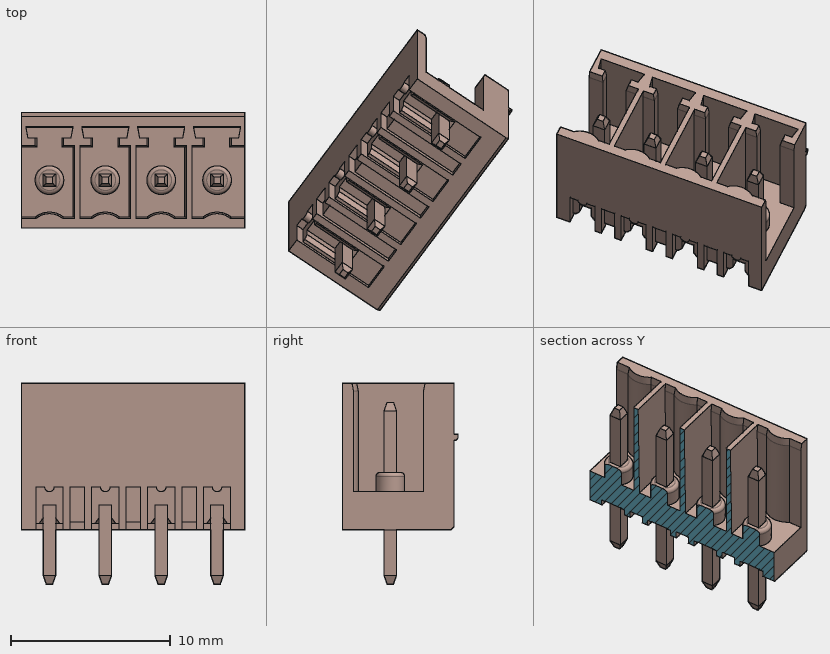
import cadquery as cq
import math


pin_count = 4
pitch = 3.5
pin_size = 0.8
pin_tip_size = 0.4
pin_tip_length = 0.56
pin_top_z = 8.0
pin_bottom_z = -3.4

body_length = pin_count * pitch
body_height = 9.2
body_front_y = -3.0
body_back_y = 4.0
bottom_chamfer = 0.2

ridge_depth = 0.25
ridge_top_z = 6.0
ridge_height = 0.38
ridge_chamfer = 0.13

floor_z = 2.4
cell_half_width = 1.575
cell_front_y = -2.3
arm_front_y = 2.08
arm_back_y = 2.65
neck_half_width = 0.79
groove_front_half_width = 1.35
groove_back_half_width = 1.475
groove_back_y = 3.36
wall_draft = 0.1
groove_draft = 0.06
lead_in = 0.1
lead_in_depth = 0.5

bulge_half_width = 0.87
bulge_height = 0.3
bulge_radius = (bulge_half_width**2 + bulge_height**2) / (2 * bulge_height)

collar_diameter = 1.8
collar_height = 1.2
collar_fillet = 0.25

recess_depth = 0.47
recess_top_z = 2.7
pin_recess_width = 1.7
pin_recess_roof_z = 0.4
wall_recess_width = 0.9
wall_recess_roof_z = 0.5
underside_back_y = 2.5
tab_radius = 0.3
slot_roof_z = 1.58
funnel_spread = 0.25
funnel_height = 0.35

half_length = body_length / 2
recess_back_y = body_front_y + recess_depth
pin_xs = [(i - (pin_count - 1) / 2) * pitch for i in range(pin_count)]
wall_xs = [x + pitch / 2 for x in pin_xs[:-1]]


def block(x, y, z):
    """Box spanning the given (low, high) pairs."""
    size = (x[1] - x[0], y[1] - y[0], z[1] - z[0])
    return cq.Workplane("XY").box(*size, centered=False).translate((x[0], y[0], z[0]))


def across(x, width):
    """Low and high ends of a width centred on x."""
    return (x - width / 2, x + width / 2)


def make_body():
    """Housing block with its chamfered lower back edge and back ridge."""
    y_span = (body_front_y, body_back_y)
    body = block((-half_length, half_length), y_span, (0, body_height))
    body = body.edges(">Y and <Z").chamfer(bottom_chamfer)
    ridge_y = body_back_y + ridge_depth
    ridge_bottom_z = ridge_top_z - ridge_height
    ridge = (
        cq.Workplane("YZ", origin=(-half_length, 0, 0))
        .moveTo(body_back_y - ridge_depth, ridge_top_z)
        .lineTo(ridge_y, ridge_top_z)
        .lineTo(ridge_y, ridge_bottom_z + ridge_chamfer)
        .lineTo(ridge_y - ridge_chamfer, ridge_bottom_z)
        .lineTo(body_back_y - ridge_depth, ridge_bottom_z)
        .close()
        .extrude(body_length)
    )
    return body.union(ridge)


def cell_section(x, z, lead):
    """Closed outline of the cell round the pin at x, at height z, widened by lead."""
    depth_share = (body_height - z) / (body_height - floor_z)
    left = x - cell_half_width
    right = x + cell_half_width - wall_draft * depth_share
    if x == pin_xs[0]:
        left = -half_length
    if x == pin_xs[-1]:
        right = half_length
    front = cell_front_y - lead
    arm_front = arm_front_y + lead
    neck = neck_half_width + lead
    back = groove_back_y - groove_draft * depth_share

    bulge_center_y = cell_front_y + bulge_height - bulge_radius
    radius = bulge_radius - lead
    bulge = math.sqrt(radius**2 - (front - bulge_center_y) ** 2)
    outline = (
        cq.Workplane("XY", origin=(0, 0, z))
        .moveTo(left, front)
        .lineTo(x - bulge, front)
        .threePointArc((x, bulge_center_y + radius), (x + bulge, front))
        .lineTo(right, front)
        .lineTo(right, arm_front)
        .lineTo(x + neck, arm_front)
        .lineTo(x + neck, arm_back_y)
        .lineTo(x + groove_front_half_width, arm_back_y)
        .lineTo(x + groove_back_half_width, back)
        .lineTo(x - groove_back_half_width, back)
        .lineTo(x - groove_front_half_width, arm_back_y)
        .lineTo(x - neck, arm_back_y)
        .lineTo(x - neck, arm_front)
        .lineTo(left, arm_front)
        .close()
    )
    return outline.val()


def make_cell(x):
    """Cavity of one cell: a drafted shaft with a flared lead-in at its mouth."""
    lead_in_z = body_height - lead_in_depth
    foot = cell_section(x, floor_z, 0)
    shoulder = cell_section(x, lead_in_z, 0)
    mouth = cell_section(x, body_height, lead_in)
    shaft = cq.Solid.makeLoft([foot, shoulder], True)
    flare = cq.Solid.makeLoft([shoulder, mouth], True)
    return cq.Workplane(shaft).union(cq.Workplane(flare))


def make_recess(x, width, roof_z):
    """Notch in the front wall that runs on under the housing below roof_z."""
    span = across(x, width)
    notch = block(span, (body_front_y, recess_back_y), (0, recess_top_z))
    underside = block(span, (body_front_y, underside_back_y), (0, roof_z))
    return notch.union(underside)


def funnel_section(x, half, z):
    """Rectangle at height z from the front recess to half a width behind the pin axis."""
    outline = (
        cq.Workplane("XY", origin=(x, 0, z))
        .moveTo(-half, recess_back_y)
        .lineTo(half, recess_back_y)
        .lineTo(half, half)
        .lineTo(-half, half)
        .close()
    )
    return outline.val()


def make_pin_slot(x):
    """Slot from the front recess to the pin, widening in a funnel at its lower mouth."""
    throat_half = pin_size / 2
    mouth_half = throat_half + funnel_spread
    slot = block(across(x, pin_size), (recess_back_y, throat_half), (0, slot_roof_z))
    mouth = funnel_section(x, mouth_half, pin_recess_roof_z)
    throat = funnel_section(x, throat_half, pin_recess_roof_z + funnel_height)
    funnel = cq.Solid.makeLoft([mouth, throat], True)
    return slot.union(cq.Workplane(funnel))


def make_tab(x):
    """Half-round tab hanging from the top of a pin recess, flush with the front."""
    return (
        cq.Workplane("XZ", origin=(x, recess_back_y, recess_top_z))
        .moveTo(-tab_radius, 0)
        .threePointArc((0, -tab_radius), (tab_radius, 0))
        .close()
        .extrude(recess_depth)
    )


def make_pin(x):
    """Square pin with tapered tips and a round collar on the cell floor."""
    shank_bottom_z = pin_bottom_z + pin_tip_length
    shank_top_z = pin_top_z - pin_tip_length
    span = across(0, pin_size)
    pin = block(across(x, pin_size), span, (shank_bottom_z, shank_top_z))
    for base_z, step in ((shank_top_z, pin_tip_length), (shank_bottom_z, -pin_tip_length)):
        tip = (
            cq.Workplane("XY", origin=(x, 0, base_z))
            .rect(pin_size, pin_size)
            .workplane(offset=step)
            .rect(pin_tip_size, pin_tip_size)
            .loft(ruled=True)
        )
        pin = pin.union(tip)
    collar = (
        cq.Workplane("XY", origin=(x, 0, floor_z))
        .circle(collar_diameter / 2)
        .extrude(collar_height)
        .faces(">Z")
        .edges()
        .fillet(collar_fillet)
    )
    return pin.union(collar)


result = make_body()
for x in pin_xs:
    result = result.cut(make_cell(x))
    result = result.cut(make_recess(x, pin_recess_width, pin_recess_roof_z))
    result = result.cut(make_pin_slot(x))
    result = result.union(make_tab(x))
for x in wall_xs:
    result = result.cut(make_recess(x, wall_recess_width, wall_recess_roof_z))
for x in pin_xs:
    result = result.union(make_pin(x))